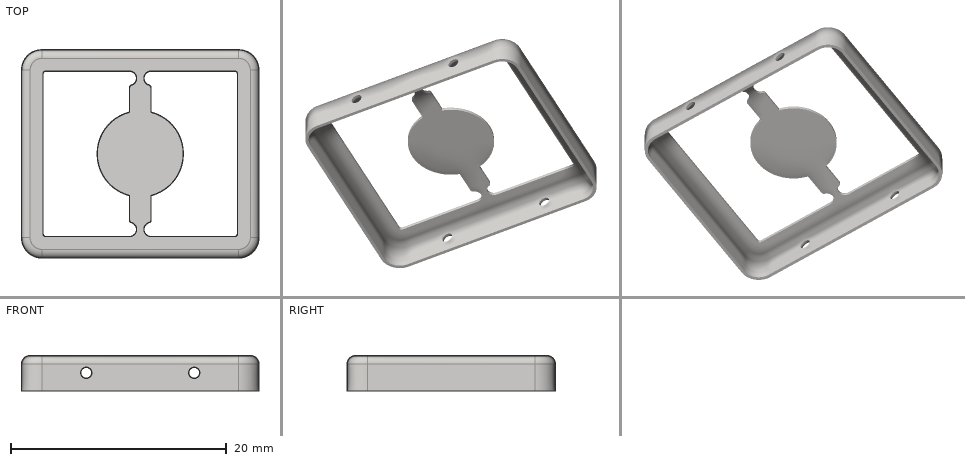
import cadquery as cq
import math

length = 22.0
width = 19.3
height = 3.3
corner_radius = 1.9
top_edge_radius = 0.8
sheet = 0.3

rim = 2.0
window_length = length - 2 * rim
window_width = width - 2 * rim
window_corner_radius = 0.25

disc_radius = 4.0
stem_half_width = 1.0
stem_corner_radius = 0.25
neck_half_width = 0.35
notch_radius = 0.65
tab_overlap = rim / 2

hole_diameter = 1.0
hole_spacing = 10.0
hole_height = 1.7


def rounded_block(inset):
    """Block with rounded corners and top edge, offset inward from the outer surface by inset."""
    return (
        cq.Workplane("XY")
        .rect(length - 2 * inset, width - 2 * inset)
        .extrude(height - inset)
        .edges("|Z")
        .fillet(corner_radius - inset)
        .faces(">Z")
        .edges()
        .fillet(top_edge_radius - inset)
    )


def window_cutter():
    """Rectangular opening with rounded corners, through the top sheet."""
    return (
        cq.Workplane("XY")
        .rect(window_length, window_width)
        .extrude(height)
        .edges("|Z")
        .fillet(window_corner_radius)
    )


def tab():
    """Stem from the disc to the +Y rim, narrowed to a neck by a round notch on each side."""
    rim_y = window_width / 2
    notch_x = neck_half_width + notch_radius
    notch_y = rim_y - notch_radius

    corner_x = stem_half_width - stem_corner_radius
    centre_distance = notch_radius + stem_corner_radius
    corner_y = notch_y - math.sqrt(centre_distance**2 - (notch_x - corner_x) ** 2)
    share = stem_corner_radius / centre_distance
    tangent = (corner_x + share * (notch_x - corner_x), corner_y + share * (notch_y - corner_y))

    half_angle = math.atan2(notch_y - corner_y, notch_x - corner_x) / 2
    corner_middle = (
        corner_x + stem_corner_radius * math.cos(half_angle),
        corner_y + stem_corner_radius * math.sin(half_angle),
    )

    half = (
        cq.Workplane("XY", origin=(0, 0, height - sheet))
        .moveTo(0, 0)
        .lineTo(stem_half_width, 0)
        .lineTo(stem_half_width, corner_y)
        .threePointArc(corner_middle, tangent)
        .threePointArc((neck_half_width, notch_y), (notch_x, rim_y))
        .lineTo(notch_x, rim_y + tab_overlap)
        .lineTo(0, rim_y + tab_overlap)
        .close()
        .extrude(sheet)
    )
    return half.union(half.mirror("YZ"))


def disc():
    """Central disc, level with the top sheet."""
    return cq.Workplane("XY", origin=(0, 0, height - sheet)).circle(disc_radius).extrude(sheet)


def wall_holes():
    """Two cylinders along Y that pierce the front and back walls."""
    return (
        cq.Workplane("XZ", origin=(0, 0, hole_height))
        .pushPoints([(-hole_spacing / 2, 0), (hole_spacing / 2, 0)])
        .circle(hole_diameter / 2)
        .extrude(width / 2, both=True)
    )


cover = rounded_block(0).cut(rounded_block(sheet)).cut(window_cutter())
rear_tab = tab()
front_tab = rear_tab.mirror("XZ")
result = cover.union(disc()).union(rear_tab).union(front_tab).cut(wall_holes())